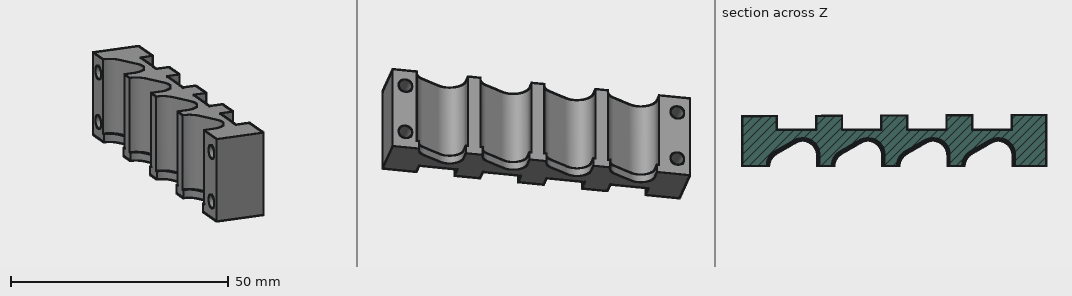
import cadquery as cq
import math

length = 70.0
height = 20.0
depth_left = 11.5
depth_right = 11.8

cradle_count = 4
pitch = 15.0
cradle_radius = 3.8
lip = 0.5
floor_thickness = 2.0
low_centre_x = 9.5
arc_spacing = 5.1
ramp_angle = math.radians(30)

slot_start = 8.0
slot_width = 9.0
web_depth = 8.4

hole_diameter = 3.2
hole_inset = 3.0
hole_heights = (4.0, 16.0)

overcut = 1.0


def make_body():
    """Block whose back face tapers along X."""
    outline = [(0, 0), (length, 0), (length, depth_right), (0, depth_left)]
    return cq.Workplane("XY").polyline(outline).close().extrude(height)


def make_cradle(radius, bottom, top, low_x):
    """Two equal arcs joined by a ramp tangent to both, open through the front face."""
    high_x = low_x + arc_spacing * math.cos(ramp_angle)
    high_y = arc_spacing * math.sin(ramp_angle)

    def on_arc(centre_x, centre_y, angle):
        return (centre_x + radius * math.cos(angle), centre_y + radius * math.sin(angle))

    tangent_angle = math.pi / 2 + ramp_angle
    low_mid_angle = (math.pi + tangent_angle) / 2
    high_mid_angle = tangent_angle / 2
    return (
        cq.Workplane("XY", origin=(0, 0, bottom))
        .moveTo(low_x - radius, -overcut)
        .lineTo(low_x - radius, 0)
        .threePointArc(on_arc(low_x, 0, low_mid_angle), on_arc(low_x, 0, tangent_angle))
        .lineTo(*on_arc(high_x, high_y, tangent_angle))
        .threePointArc(on_arc(high_x, high_y, high_mid_angle), on_arc(high_x, high_y, 0))
        .lineTo(high_x + radius, -overcut)
        .close()
        .extrude(top - bottom)
    )


def make_relief_slot(start_x):
    """Full-height rectangular slot in the back face."""
    slot_depth = depth_right - web_depth + overcut
    return cq.Workplane("XY").box(slot_width, slot_depth, height, centered=False).translate(
        (start_x, web_depth, 0)
    )


def make_mounting_holes():
    """Through holes along Y, two at each end."""
    centres = [(x, z) for x in (hole_inset, length - hole_inset) for z in hole_heights]
    return (
        cq.Workplane("XZ", origin=(0, -overcut, 0))
        .pushPoints(centres)
        .circle(hole_diameter / 2)
        .extrude(-(depth_right + 2 * overcut))
    )


result = make_body()
for index in range(cradle_count):
    shift = index * pitch
    cradle_x = low_centre_x + shift
    result = result.cut(make_cradle(cradle_radius, floor_thickness, height, cradle_x))
    result = result.cut(make_cradle(cradle_radius - lip, 0, floor_thickness, cradle_x))
    result = result.cut(make_relief_slot(slot_start + shift))
result = result.cut(make_mounting_holes())